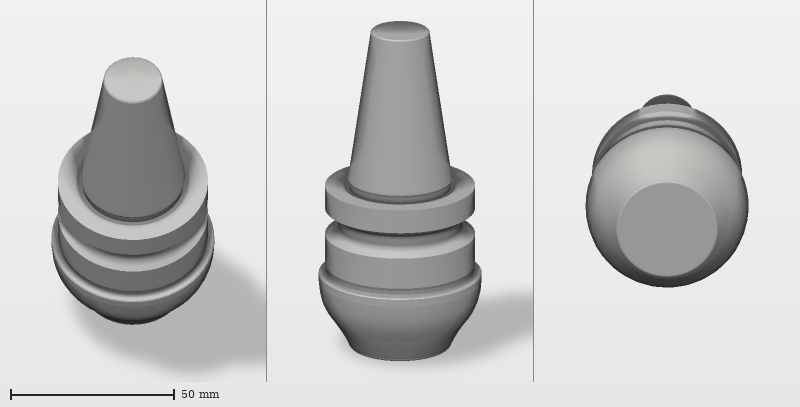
import cadquery as cq
import math

total_height = 102.4

gauge_radius = 16.0
gauge_z = 54.3
taper_slope = 7 / 48
shank_top_chamfer = 0.4
gauge_band = 0.9

neck_radius = 15.6
relief_radius = 17.5
relief_depth = 0.6
relief_wall_run = 1.0

flange_radius = 23.0
flange_top_z = 52.0
flange_bottom_z = 26.5
v_groove_z = 40.4
v_groove_mouth = 8.3
v_groove_radius = 19.0
v_groove_wall_angle = 30.0
v_groove_fillet = 0.9

undercut_radius = 22.6
undercut_top_z = 25.6
undercut_fillet = 0.9

collar_radius = 25.0
collar_top_z = 23.9
collar_bottom_z = 21.2
collar_chamfer = 0.3
nose_waist_radius = 20.1
nose_waist_z = 8.3
nose_tip_radius = 15.8
nose_tip_z = 0.9
nose_sag = 0.2
tip_fillet = 0.9


def taper_radius(z):
    """Radius of the shank cone at height z."""
    return gauge_radius - (z - gauge_z) * taper_slope


def arc_between(profile, start, end, sag):
    """Add an arc to end; positive sag bows to the right of travel."""
    run = end[0] - start[0]
    rise = end[1] - start[1]
    chord = math.hypot(run, rise)
    middle = (
        (start[0] + end[0]) / 2 + sag * rise / chord,
        (start[1] + end[1]) / 2 - sag * run / chord,
    )
    return profile.threePointArc(middle, end)


def make_body():
    """Revolve the collar, flange and shank above the rounded nose."""
    tip = (nose_tip_radius, nose_tip_z)
    waist = (nose_waist_radius, nose_waist_z)
    collar_foot = (collar_radius, collar_bottom_z)

    dome_run = collar_radius - nose_waist_radius
    dome_rise = collar_bottom_z - nose_waist_z
    dome_radius = (dome_run**2 + dome_rise**2) / (2 * dome_run)
    dome_chord = math.hypot(dome_run, dome_rise)
    dome_sag = dome_radius - math.sqrt(dome_radius**2 - dome_chord**2 / 4)

    tip_face = (nose_tip_radius - tip_fillet, 0)
    tip_sag = tip_fillet * (1 - math.sqrt(0.5))
    profile = cq.Workplane("XZ").moveTo(0, 0).lineTo(*tip_face)
    profile = arc_between(profile, tip_face, tip, tip_sag)
    profile = arc_between(profile, tip, waist, -nose_sag)
    profile = arc_between(profile, waist, collar_foot, dome_sag)

    undercut_foot = (undercut_radius, collar_top_z + undercut_fillet)
    undercut_start = (undercut_radius + undercut_fillet, collar_top_z)
    undercut_head = (undercut_radius, undercut_top_z)
    flange_foot = (flange_radius, flange_bottom_z)
    corner_sag = undercut_fillet * (1 - math.sqrt(0.5))
    profile = (
        profile.lineTo(collar_radius, collar_top_z - collar_chamfer)
        .lineTo(collar_radius - collar_chamfer, collar_top_z)
        .lineTo(*undercut_start)
    )
    profile = arc_between(profile, undercut_start, undercut_foot, -corner_sag)
    profile = profile.lineTo(*undercut_head).lineTo(*flange_foot)

    relief_floor_z = flange_top_z - relief_depth
    chamfer_z = total_height - shank_top_chamfer
    return (
        profile.lineTo(flange_radius, flange_top_z)
        .lineTo(relief_radius, flange_top_z)
        .lineTo(relief_radius - relief_wall_run, relief_floor_z)
        .lineTo(neck_radius, relief_floor_z)
        .lineTo(neck_radius, gauge_z - gauge_band)
        .lineTo(gauge_radius, gauge_z)
        .lineTo(taper_radius(chamfer_z), chamfer_z)
        .lineTo(taper_radius(chamfer_z) - shank_top_chamfer, total_height)
        .lineTo(0, total_height)
        .close()
        .revolve(360, (0, 0, 0), (0, 1, 0))
    )


def make_v_groove():
    """Ring to cut from the flange, with rounded floor corners."""
    depth = flange_radius - v_groove_radius
    mouth_half = v_groove_mouth / 2
    floor_half = mouth_half - depth * math.tan(math.radians(v_groove_wall_angle))
    ring = (
        cq.Workplane("XZ")
        .moveTo(flange_radius, v_groove_z - mouth_half)
        .lineTo(v_groove_radius, v_groove_z - floor_half)
        .lineTo(v_groove_radius, v_groove_z + floor_half)
        .lineTo(flange_radius, v_groove_z + mouth_half)
        .close()
        .revolve(360, (0, 0, 0), (0, 1, 0))
    )
    floor_edges = cq.selectors.BoxSelector(
        (-flange_radius, -flange_radius, v_groove_z - floor_half - v_groove_fillet / 2),
        (flange_radius, flange_radius, v_groove_z + floor_half + v_groove_fillet / 2),
    )
    return ring.edges("%CIRCLE").edges(floor_edges).fillet(v_groove_fillet)


result = make_body().cut(make_v_groove())